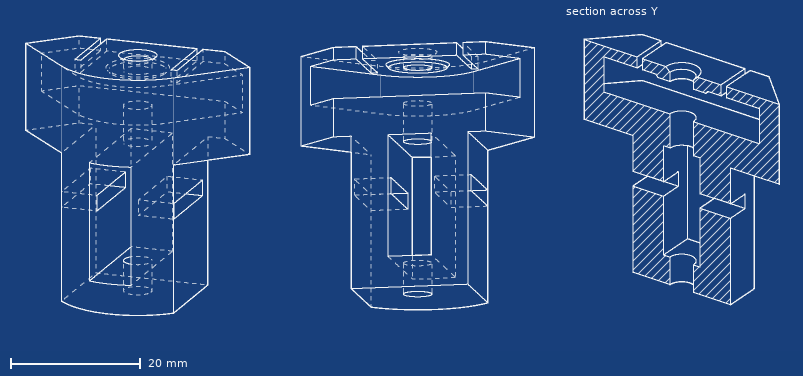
import cadquery as cq
import math

height = 38
nose_radius = 13.0
back_y = 6.42
head_bottom = 23.95
corner = nose_radius / math.sqrt(2)
wing_tip = nose_radius * math.sqrt(2)

pocket_wall = 2.65
pocket_top = height - 1.98
pocket_bottom = height - 8.05

boss_diameter = 9.8
boss_height = 0.45
boss_taper = 0.38

hole_diameter = 4.4
countersink = 0.75

groove_width = 1.0
groove_length = 11.75
groove_offset = 7.9

window_width = 6.8
window_bottom = 4.85

slot_bottom = 15.15
slot_height = 2.5
slot_back = 2.5
slot_length = 12.95


def box(x_min, x_max, y_min, y_max, z_min, z_max):
    size = (x_max - x_min, y_max - y_min, z_max - z_min)
    return cq.Workplane("XY", origin=(x_min, y_min, z_min)).box(*size, centered=False)


def stem():
    """Full-height column with flat sides and a rounded nose."""
    return (
        cq.Workplane("XY")
        .moveTo(-corner, back_y)
        .lineTo(-corner, -corner)
        .threePointArc((0, -nose_radius), (corner, -corner))
        .lineTo(corner, back_y)
        .close()
        .extrude(height)
    )


def wings():
    """Head block with 45 degree flanks tangent to the nose."""
    back_corner = wing_tip - back_y
    outline = [
        (-corner, -corner),
        (corner, -corner),
        (wing_tip, 0),
        (back_corner, back_y),
        (-back_corner, back_y),
        (-wing_tip, 0),
    ]
    return (
        cq.Workplane("XY", origin=(0, 0, head_bottom))
        .polyline(outline)
        .close()
        .extrude(height - head_bottom)
    )


def pocket():
    """Cavity whose nose and flanks run parallel to the outside and break out of the wings."""
    radius = nose_radius - pocket_wall
    tangent = radius / math.sqrt(2)
    mouth = radius * math.sqrt(2) + back_y
    return (
        cq.Workplane("XY", origin=(0, 0, pocket_bottom))
        .moveTo(-mouth, back_y)
        .lineTo(-tangent, -tangent)
        .threePointArc((0, -radius), (tangent, -tangent))
        .lineTo(mouth, back_y)
        .close()
        .extrude(pocket_top - pocket_bottom)
    )


def boss():
    radius = boss_diameter / 2
    return cq.Workplane("XY").add(
        cq.Solid.makeCone(
            radius - boss_taper,
            radius,
            boss_height,
            pnt=cq.Vector(0, 0, pocket_top - boss_height),
        )
    )


def screw_hole():
    """Through hole along the axis with a 45 degree countersink at the top."""
    radius = hole_diameter / 2
    bore = cq.Workplane("XY").circle(radius).extrude(height)
    sink = cq.Solid.makeCone(
        radius, radius + countersink, countersink, pnt=cq.Vector(0, 0, height - countersink)
    )
    return bore.union(cq.Workplane("XY").add(sink))


def groove(x):
    """Narrow groove whose floor is level with the pocket floor."""
    half = groove_width / 2
    return box(x - half, x + half, back_y - groove_length, back_y, pocket_bottom, height)


window = box(-window_width / 2, window_width / 2, -nose_radius, back_y, window_bottom, head_bottom)
slot_y = back_y - slot_back
slot = box(-corner, corner, slot_y - slot_length, slot_y, slot_bottom, slot_bottom + slot_height)

result = stem().union(wings()).cut(pocket()).union(boss())
for side in (-1, 1):
    result = result.cut(groove(side * groove_offset))
result = result.cut(window).cut(slot).cut(screw_hole())